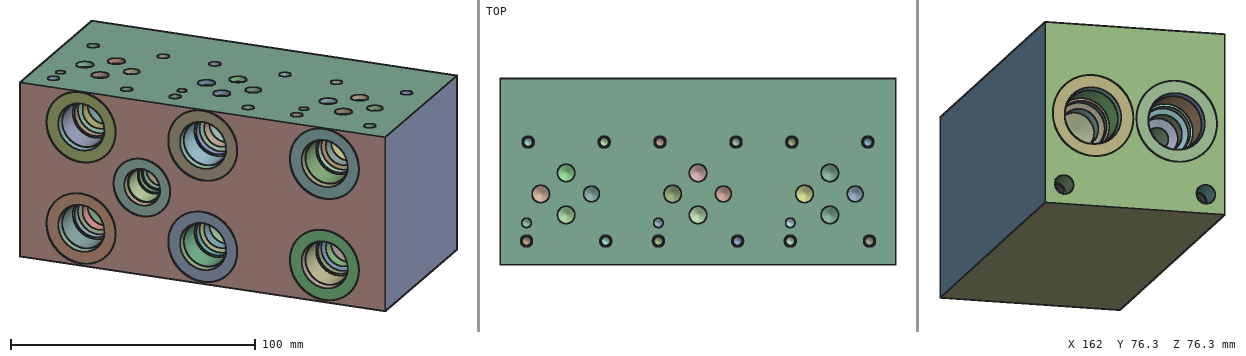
import cadquery as cq
import math

LENGTH = 162.0
SIDE = 76.3
STATION_PITCH = 54.0
STATION_X = [LENGTH / 2 + i * STATION_PITCH for i in (-1, 0, 1)]

DRILL_POINT_ANGLE = 118.0

SPOTFACE_DEPTH = 0.5
SEAL_CONE_DEPTH = 2.6

WORK_PORT_Z = (16.2, 60.5)
WORK_PORT = {
    "spotface": 30.6, "cone": 20.4, "cone_end": 19.3, "thread": 19.1, "thread_depth": 14.2,
    "tap_drill": 17.5, "tap_depth": 17.8, "bore": 14.2, "bore_depth": 24.3,
}

GAUGE_PORT_X = (STATION_X[0] + STATION_X[1]) / 2
GAUGE_PORT = {
    "spotface": 25.1, "cone": 15.9, "cone_end": 14.9, "thread": 14.2, "thread_depth": 12.6,
    "tap_drill": 13.0, "tap_depth": 15.5, "bore": 12.0, "bore_depth": 19.5,
}

PRESSURE_Y = 20.4
TANK_Y = 55.9
END_PORT = {
    "spotface": 34.2, "cone": 24.0, "cone_end": 22.7, "thread": 22.5, "thread_depth": 16.2,
    "tap_drill": 20.4, "tap_depth": 19.6, "bore": 15.9, "bore_depth": 27.5,
}

PRESSURE_EXTENSION_DIAMETER = 9.0
PRESSURE_EXTENSION_DEPTH = 30.0
PRESSURE_EXTENSION_POINT_ANGLE = 31.0

MOUNT_EDGE = 8.1
MOUNT_THREAD = 8.0
MOUNT_TAP_DRILL = 6.5
MOUNT_THREAD_DEPTH = 13.0
MOUNT_TAP_DEPTH = 16.2

VALVE_PORT_DIAMETER = 7.1
VALVE_B_DIAMETER = 6.5
VALVE_PORT_DEPTH = 2.3
VALVE_AB_OFFSET = 10.4
VALVE_TANK_Y = 37.5
VALVE_AB_Y = (PRESSURE_Y + VALVE_TANK_Y) / 2
BOLT_BACK_OFFSET = 15.5
BOLT_BACK_Y = 50.2
BOLT_FRONT_OFFSET = 16.2
BOLT_FRONT_Y = 9.7
BOLT_THREAD = 4.9
BOLT_TAP_DRILL = 3.7
BOLT_THREAD_DEPTH = 11.3
BOLT_TAP_DEPTH = 14.5
PIN_DIAMETER = 3.9
PIN_DEPTH = 4.9
PIN_Y = 17.2


def point_length(diameter_drop, point_angle=DRILL_POINT_ANGLE):
    """Axial length over which a conical point narrows by the given diameter."""
    return diameter_drop / 2 / math.tan(math.radians(point_angle / 2))


def turned_cutter(steps, point_angle=DRILL_POINT_ANGLE):
    """Solid of revolution going down from the origin along -Z.

    steps lists (diameter, depth) corners from the mouth inwards; a conical point closes the end.
    """
    end_diameter, end_depth = steps[-1]
    outline = [(0, 0)]
    outline += [(diameter / 2, -depth) for diameter, depth in steps]
    outline.append((0, -(end_depth + point_length(end_diameter, point_angle))))
    return cq.Workplane("XZ").polyline(outline).close().revolve(360, (0, 0), (0, 1))


def drilled_hole(diameter, depth):
    return turned_cutter([(diameter, 0), (diameter, depth)])


def tapped_hole(thread, thread_depth, tap_drill, tap_depth):
    return turned_cutter([
        (thread, 0), (thread, thread_depth), (tap_drill, thread_depth), (tap_drill, tap_depth),
    ])


def port_steps(port):
    """Corners of spotface, sealing cone, thread, tap drill and inner bore on one axis."""
    return [
        (port["spotface"], 0),
        (port["spotface"], SPOTFACE_DEPTH),
        (port["cone"], SPOTFACE_DEPTH),
        (port["cone_end"], SPOTFACE_DEPTH + SEAL_CONE_DEPTH),
        (port["thread"], SPOTFACE_DEPTH + SEAL_CONE_DEPTH),
        (port["thread"], port["thread_depth"]),
        (port["tap_drill"], port["thread_depth"]),
        (port["tap_drill"], port["tap_depth"]),
        (port["bore"], port["tap_depth"] + point_length(port["tap_drill"] - port["bore"])),
        (port["bore"], port["bore_depth"]),
    ]


def on_front(cutter, x, z):
    """Turn a cutter to point along +Y from the front face."""
    return cutter.rotate((0, 0, 0), (1, 0, 0), 90).translate((x, 0, z))


def on_left(cutter, y, z):
    """Turn a cutter to point along +X from the left end face."""
    return cutter.rotate((0, 0, 0), (0, 1, 0), -90).translate((0, y, z))


def on_top(cutter, x, y):
    return cutter.translate((x, y, SIDE))


def front_cutters():
    work_port = turned_cutter(port_steps(WORK_PORT))
    cutters = [on_front(work_port, x, z) for x in STATION_X for z in WORK_PORT_Z]
    cutters.append(on_front(turned_cutter(port_steps(GAUGE_PORT)), GAUGE_PORT_X, SIDE / 2))
    return cutters


def left_cutters():
    extension_start = END_PORT["bore_depth"] + point_length(END_PORT["bore"] - PRESSURE_EXTENSION_DIAMETER)
    extension_steps = [
        (PRESSURE_EXTENSION_DIAMETER, extension_start),
        (PRESSURE_EXTENSION_DIAMETER, PRESSURE_EXTENSION_DEPTH),
    ]
    pressure_port = turned_cutter(
        port_steps(END_PORT) + extension_steps, PRESSURE_EXTENSION_POINT_ANGLE
    )
    tank_port = turned_cutter(port_steps(END_PORT))
    cutters = [
        on_left(pressure_port, PRESSURE_Y, SIDE / 2),
        on_left(tank_port, TANK_Y, SIDE / 2),
    ]
    mount = tapped_hole(MOUNT_THREAD, MOUNT_THREAD_DEPTH, MOUNT_TAP_DRILL, MOUNT_TAP_DEPTH)
    cutters += [on_left(mount, y, MOUNT_EDGE) for y in (MOUNT_EDGE, SIDE - MOUNT_EDGE)]
    return cutters


def valve_cutters(x):
    port = drilled_hole(VALVE_PORT_DIAMETER, VALVE_PORT_DEPTH)
    port_b = drilled_hole(VALVE_B_DIAMETER, VALVE_PORT_DEPTH)
    bolt = tapped_hole(BOLT_THREAD, BOLT_THREAD_DEPTH, BOLT_TAP_DRILL, BOLT_TAP_DEPTH)
    pin = drilled_hole(PIN_DIAMETER, PIN_DEPTH)
    cutters = [
        on_top(port, x, PRESSURE_Y),
        on_top(port, x, VALVE_TANK_Y),
        on_top(port, x - VALVE_AB_OFFSET, VALVE_AB_Y),
        on_top(port_b, x + VALVE_AB_OFFSET, VALVE_AB_Y),
        on_top(pin, x - BOLT_FRONT_OFFSET, PIN_Y),
    ]
    for side in (-1, 1):
        cutters.append(on_top(bolt, x + side * BOLT_BACK_OFFSET, BOLT_BACK_Y))
        cutters.append(on_top(bolt, x + side * BOLT_FRONT_OFFSET, BOLT_FRONT_Y))
    return cutters


cutters = front_cutters() + left_cutters()
for station in STATION_X:
    cutters += valve_cutters(station)

all_cutters = cq.Compound.makeCompound([cutter.val() for cutter in cutters])
block = cq.Workplane("XY").box(LENGTH, SIDE, SIDE, centered=False)
result = block.cut(cq.Workplane(all_cutters))